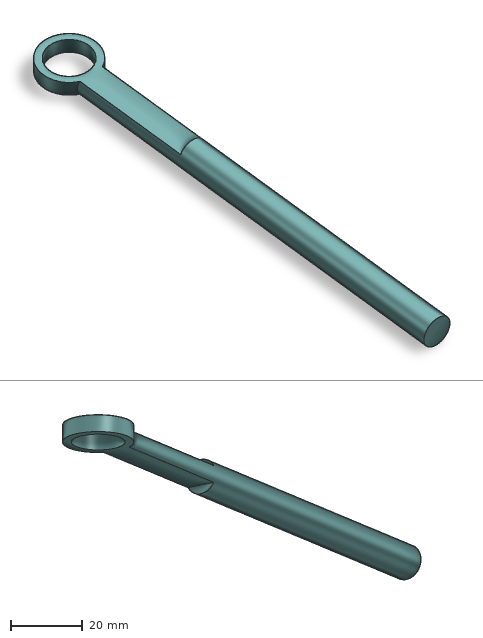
import cadquery as cq

total_length = 160.0
ring_diameter = 20.0
hole_diameter = 15.0
rod_diameter = 10.0
rod_length = 100.0
flat_thickness = 5.0

ring_radius = ring_diameter / 2
rod_end = total_length - ring_radius
shoulder = rod_end - rod_length


def cylinder_along_x(start, end, diameter):
    return cq.Workplane("YZ", origin=(start, 0, 0)).circle(diameter / 2).extrude(end - start)


def flat_disc(diameter):
    return cq.Workplane("XY").circle(diameter / 2).extrude(flat_thickness / 2, both=True)


handle = cylinder_along_x(shoulder, rod_end, rod_diameter)

flat_slab = cq.Workplane("XY").box(
    shoulder, rod_diameter, flat_thickness, centered=(False, True, True)
)
neck = cylinder_along_x(0, shoulder, rod_diameter).intersect(flat_slab)

result = handle.union(neck).union(flat_disc(ring_diameter)).cut(flat_disc(hole_diameter))